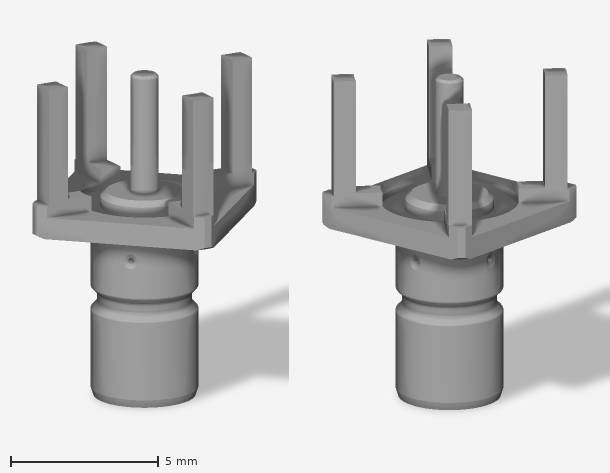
import cadquery as cq

total_height = 11.4

barrel_radius = 1.84
groove_radius = 1.61
barrel_end_radius = 1.74
barrel_end_chamfer_height = 0.28
groove_lower_edge = 3.05
groove_upper_edge = 3.84
groove_flank_height = 0.23
groove_corner_fillet = 0.09

dimple_count = 4
dimple_height = 5.16
dimple_mouth_radius = 0.26
dimple_throat_radius = 0.11
dimple_floor_radius = 0.05
dimple_flare_depth = 0.06
dimple_depth = 0.16

flange_width = 6.3
flange_bottom = 6.13
flange_thickness = 0.76
flange_corner_reach = 4.32
flange_bevel_radius = 4.14
flange_bevel_height = 0.1
corner_pad_height = 0.41

leg_width = 0.8
leg_outer_radius = 4.0
leg_inner_radius = 3.25
foot_height = 0.5

recess_radius = 2.35
recess_depth = 0.24
insulator_radius = 1.5
insulator_height = 0.3
insulator_chamfer = 0.19
pin_radius = 0.48
pin_tip_gap = 0.08
pin_chamfer = 0.09

flange_top = flange_bottom + flange_thickness
pad_top = flange_top + corner_pad_height
foot_top = flange_top + foot_height
recess_floor = flange_top - recess_depth
insulator_top = flange_top + insulator_height
pin_top = total_height - pin_tip_gap


def disc(radius, bottom, top):
    """Upright cylinder on the barrel axis between two levels."""
    return cq.Workplane("XY").workplane(offset=bottom).circle(radius).extrude(top - bottom)


def block(length, width, bottom, top):
    """Rectangular block centred on the barrel axis between two levels."""
    return cq.Workplane("XY").workplane(offset=bottom).rect(length, width).extrude(top - bottom)


def flange_outline(bottom, top):
    """Square block between two levels, with its corners turned off by a round cylinder."""
    square = block(flange_width, flange_width, bottom, top)
    return square.intersect(disc(flange_corner_reach, bottom, top))


def diagonal_strips(bottom, top):
    """Two crossing strips of leg width along the diagonals of the flange."""
    strip_length = 2 * flange_width
    strips = cq.Workplane("XY")
    for angle in (45, -45):
        strip = block(strip_length, leg_width, bottom, top)
        strips = strips.add(strip.rotate((0, 0, 0), (0, 0, 1), angle))
    return strips.combine()


def make_barrel():
    """Turned barrel: chamfered lower end and a groove with sloping flanks and rounded edges."""
    profile = (
        cq.Workplane("XZ")
        .moveTo(0, 0)
        .lineTo(barrel_end_radius, 0)
        .lineTo(barrel_radius, barrel_end_chamfer_height)
        .lineTo(barrel_radius, groove_lower_edge)
        .lineTo(groove_radius, groove_lower_edge + groove_flank_height)
        .lineTo(groove_radius, groove_upper_edge - groove_flank_height)
        .lineTo(barrel_radius, groove_upper_edge)
        .lineTo(barrel_radius, flange_bottom)
        .lineTo(0, flange_bottom)
        .close()
    )
    barrel = profile.revolve(360, (0, 0, 0), (0, 1, 0))
    zone_reach = 2 * barrel_radius
    groove_zone = cq.selectors.BoxSelector(
        (-zone_reach, -zone_reach, groove_lower_edge - groove_corner_fillet),
        (zone_reach, zone_reach, groove_upper_edge + groove_corner_fillet),
        boundingbox=True,
    )
    return barrel.edges("%CIRCLE").edges(groove_zone).fillet(groove_corner_fillet)


def make_dimples():
    """Blind pits that flare at the mouth and taper to a small flat floor."""
    throat = barrel_radius - dimple_flare_depth
    floor = barrel_radius - dimple_depth
    dimple = (
        cq.Workplane("XY")
        .moveTo(barrel_radius, 0)
        .lineTo(barrel_radius, dimple_mouth_radius)
        .lineTo(throat, dimple_throat_radius)
        .lineTo(floor, dimple_floor_radius)
        .lineTo(floor, 0)
        .close()
        .revolve(360, (0, 0, 0), (1, 0, 0))
        .translate((0, 0, dimple_height))
    )
    dimples = cq.Workplane("XY")
    for index in range(dimple_count):
        dimples = dimples.add(dimple.rotate((0, 0, 0), (0, 0, 1), index * 360 / dimple_count))
    return dimples.combine()


def make_flange():
    """Square flange with a bevel turned under its corners and a round recess on top."""
    bevel_width = flange_corner_reach - flange_bevel_radius
    turned_envelope = (
        disc(flange_corner_reach, flange_bottom, flange_top)
        .faces("<Z")
        .chamfer(flange_bevel_height, bevel_width)
    )
    flange = flange_outline(flange_bottom, flange_top).intersect(turned_envelope)
    return flange.cut(disc(recess_radius, recess_floor, flange_top))


def make_corner_pads():
    """Raised pads filling the strip ends out to the flange outline."""
    pads = diagonal_strips(flange_top, pad_top).intersect(flange_outline(flange_top, pad_top))
    return pads.cut(disc(recess_radius, flange_top, pad_top))


def make_ring_segments(inner_radius, bottom, top):
    """Four blocks where the strips cross a ring that ends at the outer leg radius."""
    ring = disc(leg_outer_radius, bottom, top).cut(disc(inner_radius, bottom, top))
    return diagonal_strips(bottom, top).intersect(ring)


def make_insulator():
    """Chamfered disc standing on the recess floor."""
    return disc(insulator_radius, recess_floor, insulator_top).faces(">Z").chamfer(insulator_chamfer)


def make_pin():
    """Centre pin with a chamfered tip."""
    return disc(pin_radius, recess_floor, pin_top).faces(">Z").chamfer(pin_chamfer)


result = (
    make_barrel()
    .cut(make_dimples())
    .union(make_flange())
    .union(make_corner_pads())
    .union(make_ring_segments(recess_radius, flange_top, foot_top))
    .union(make_ring_segments(leg_inner_radius, flange_top, total_height))
    .union(make_insulator())
    .union(make_pin())
)